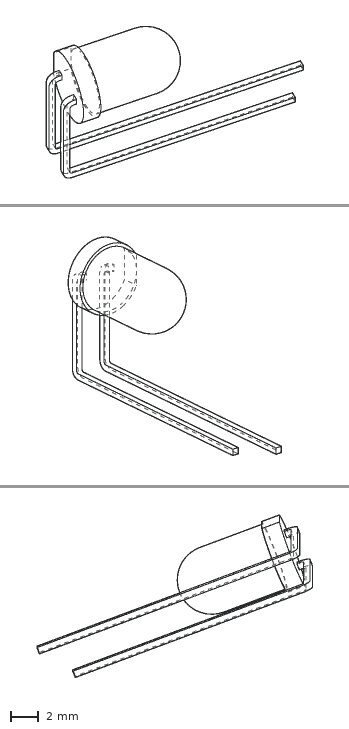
import cadquery as cq

body_radius = 2.48
body_straight_end = 6.15
rim_radius = 2.75
rim_length = 1.35

wire = 0.5
lead_spacing = 2.55
lead_front = -1.02
lead_bottom = -8.05
long_lead_end = 18.98
short_lead_end = 17.2
upper_bend_radius = 0.8
lower_bend_radius = 0.68


def make_body():
    """Revolve the rim, barrel and hemispherical dome about the Y axis."""
    dome_tip = body_straight_end + body_radius
    diagonal = body_radius * 0.5 ** 0.5
    return (
        cq.Workplane("XY")
        .lineTo(rim_radius, 0)
        .lineTo(rim_radius, rim_length)
        .lineTo(body_radius, rim_length)
        .lineTo(body_radius, body_straight_end)
        .threePointArc((diagonal, body_straight_end + diagonal), (0, dome_tip))
        .close()
        .revolve(360, (0, 0, 0), (0, 1, 0))
    )


def cut_polarity_flat(body):
    """Trim the -X side of the rim flush with the barrel."""
    cutter = cq.Workplane("XY").box(
        rim_radius, rim_length, 2 * rim_radius, centered=(False, False, True)
    )
    return body.cut(cutter.translate((-body_radius - rim_radius, 0, 0)))


def make_lead(x_center, end_y):
    """Build one bent wire from its side outline, extruded across X."""
    top = wire / 2
    root_y = rim_length / 2
    inner_y = lead_front + wire
    outline = (
        cq.Workplane("YZ", origin=(x_center, 0, 0))
        .moveTo(root_y, top)
        .lineTo(lead_front + upper_bend_radius, top)
        .radiusArc((lead_front, top - upper_bend_radius), -upper_bend_radius)
        .lineTo(lead_front, lead_bottom + lower_bend_radius)
        .radiusArc((lead_front + lower_bend_radius, lead_bottom), -lower_bend_radius)
        .lineTo(end_y, lead_bottom)
        .lineTo(end_y, lead_bottom + wire)
        .lineTo(lead_front + lower_bend_radius, lead_bottom + wire)
        .radiusArc((inner_y, lead_bottom + lower_bend_radius), lower_bend_radius - wire)
        .lineTo(inner_y, top - upper_bend_radius)
        .radiusArc((lead_front + upper_bend_radius, -top), upper_bend_radius - wire)
        .lineTo(root_y, -top)
        .close()
    )
    return outline.extrude(wire / 2, both=True)


result = cut_polarity_flat(make_body())
for x_center, end_y in (
    (-lead_spacing / 2, long_lead_end),
    (lead_spacing / 2, short_lead_end),
):
    result = result.union(make_lead(x_center, end_y))